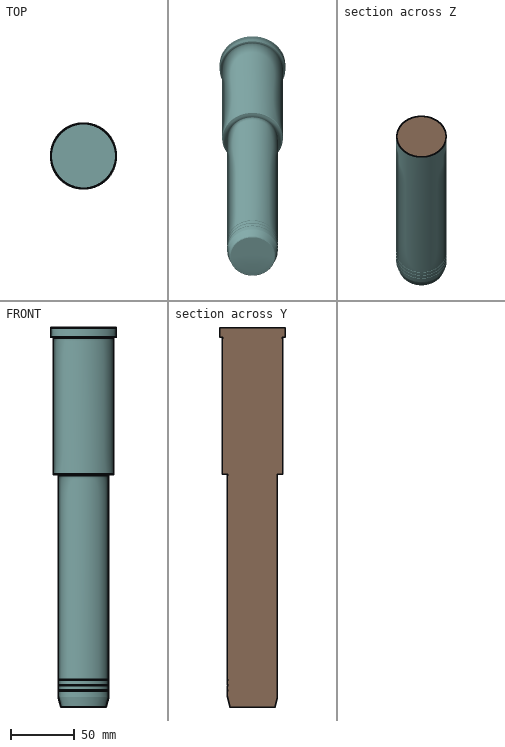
import cadquery as cq

total_length = 300.0
head_diameter = 52.0
head_height = 7.8
sleeve_diameter = 48.0
sleeve_bottom = 184.0
post_diameter = 40.0
tip_diameter = 35.7
tip_height = 8.0

head_chamfer = 0.45
sleeve_chamfer = 0.45
tip_chamfer = 0.45

groove_width = 1.0
groove_depth = 0.3
groove_pitch = 4.2
groove_count = 3
lowest_groove = 13.0

head_bottom = total_length - head_height
sleeve_height = head_bottom - sleeve_bottom
post_height = sleeve_bottom - tip_height


def cylinder(diameter, bottom, height):
    """Upright cylinder centred on the Z axis."""
    return cq.Workplane("XY").workplane(offset=bottom).circle(diameter / 2).extrude(height)


def ring_cutter(diameter, bottom):
    """Ring that cuts one groove into a cylinder of the given diameter."""
    core = cylinder(diameter - 2 * groove_depth, bottom, groove_width)
    return cylinder(head_diameter, bottom, groove_width).cut(core)


tip = (
    cq.Workplane("XY")
    .circle(tip_diameter / 2)
    .workplane(offset=tip_height)
    .circle(post_diameter / 2)
    .loft(ruled=True)
    .faces("<Z")
    .chamfer(tip_chamfer)
)

post = cylinder(post_diameter, tip_height, post_height)
sleeve = cylinder(sleeve_diameter, sleeve_bottom, sleeve_height).faces("<Z").chamfer(sleeve_chamfer)
head = cylinder(head_diameter, head_bottom, head_height).faces("<Z or >Z").chamfer(head_chamfer)

result = tip.union(post).union(sleeve).union(head)

result = result.cut(ring_cutter(sleeve_diameter, head_bottom - groove_width))
result = result.cut(ring_cutter(post_diameter, sleeve_bottom - groove_width))

for index in range(groove_count):
    result = result.cut(ring_cutter(post_diameter, lowest_groove + index * groove_pitch))